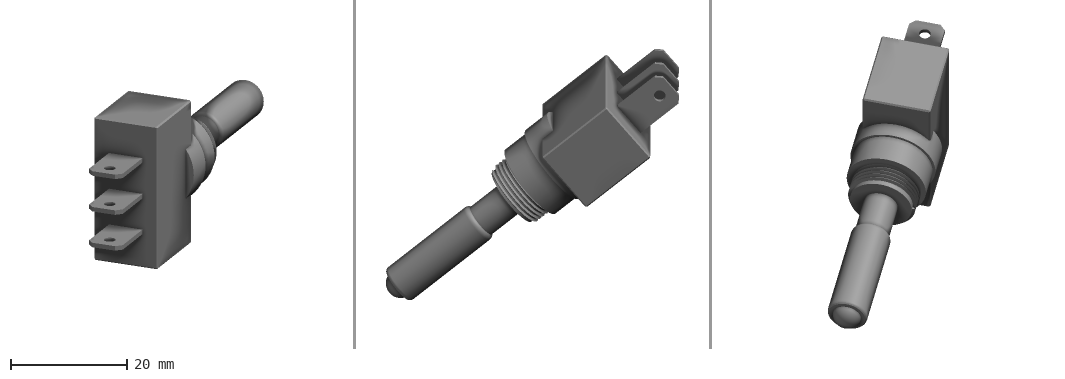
import cadquery as cq
import math

OVERALL_LENGTH = 63.0

CASE_WIDTH = 12.0
CASE_DEPTH = 14.55
CASE_HEIGHT = 26.2
CASE_CHAMFER = 0.25

TERMINAL_COUNT = 3
TERMINAL_PITCH = 6.55
TERMINAL_WIDTH = 6.3
TERMINAL_THICKNESS = 0.8
TERMINAL_LENGTH = 9.45
TERMINAL_CHAMFER = 1.0
TERMINAL_HOLE_DIAMETER = 2.0
TERMINAL_HOLE_TO_END = 2.6

FLANGE_DIAMETER = 15.0
FLANGE_TOP = 2.5
FLANGE_SINK = 2.5
COLLAR_DIAMETER = 14.0
COLLAR_TOP = 7.5
COLLAR_RISE = 0.4

BUSHING_DIAMETER = 10.9
BUSHING_TOP = 11.6
THREAD_DIAMETER = 12.0
THREAD_PITCH = 0.75
THREAD_TURNS = 5
THREAD_BASE_WIDTH = 0.5
THREAD_LEAD_IN = 0.5
THREAD_ROOT_OVERLAP = 0.05

LEVER_TIP = OVERALL_LENGTH - CASE_DEPTH - TERMINAL_LENGTH
STEM_DIAMETER = 6.0
GRIP_DIAMETER = 7.0
GRIP_BOTTOM = 18.45
GRIP_LOWER_ROUND = 1.0
GRIP_END_DIAMETER = 6.5
GRIP_RIM_DIAMETER = 6.8
GRIP_RIM_HEIGHT = 0.2
GRIP_UPPER_ROUND_LENGTH = 0.4
DOME_HEIGHT = 2.0
DOME_BASE_RADIUS = 2.5


def cylinder_along_y(diameter, y_start, y_end, z_center=0.0):
    """Cylinder parallel to Y between two Y positions."""
    return (
        cq.Workplane("XZ", origin=(0, y_start, z_center))
        .circle(diameter / 2)
        .extrude(y_start - y_end)
    )


def make_case():
    """Rectangular case with chamfered edges."""
    return (
        cq.Workplane("XY")
        .box(CASE_WIDTH, CASE_DEPTH, CASE_HEIGHT)
        .translate((0, -CASE_DEPTH / 2, 0))
        .edges()
        .chamfer(CASE_CHAMFER)
    )


def make_terminal(z_center):
    """Flat blade with clipped corners and a hole near its free end."""
    blade_end = -CASE_DEPTH - TERMINAL_LENGTH
    blade = (
        cq.Workplane("XY")
        .box(TERMINAL_WIDTH, TERMINAL_LENGTH, TERMINAL_THICKNESS)
        .translate((0, blade_end + TERMINAL_LENGTH / 2, z_center))
        .faces("<Y")
        .edges("|Z")
        .chamfer(TERMINAL_CHAMFER)
    )
    hole = (
        cq.Workplane("XY", origin=(0, blade_end + TERMINAL_HOLE_TO_END, z_center))
        .circle(TERMINAL_HOLE_DIAMETER / 2)
        .extrude(TERMINAL_THICKNESS, both=True)
    )
    return blade.cut(hole)


def make_helix(radius, height):
    """Thread helix around Z that starts at the given radius and height."""
    helix = cq.Wire.makeHelix(THREAD_PITCH, THREAD_PITCH * THREAD_TURNS, radius)
    return helix.translate(cq.Vector(0, 0, height))


def make_thread():
    """Right-handed triangular thread ridge that starts at -X and runs down into the collar."""
    root_radius = BUSHING_DIAMETER / 2 - THREAD_ROOT_OVERLAP
    half_base = THREAD_BASE_WIDTH / 2
    profile = [(root_radius, -half_base), (THREAD_DIAMETER / 2, 0), (root_radius, half_base)]
    helices = [make_helix(radius, height) for radius, height in profile]
    faces = [
        cq.Face.makeRuledSurface(helix, helices[(index + 1) % len(helices)])
        for index, helix in enumerate(helices)
    ]
    start_corners = [helix.startPoint() for helix in helices]
    end_corners = [helix.endPoint() for helix in helices]
    for corners in (start_corners, end_corners):
        faces.append(cq.Face.makeFromWires(cq.Wire.makePolygon(corners, close=True)))
    ridge = cq.Workplane(cq.Solid.makeSolid(cq.Shell.makeShell(faces)))
    return (
        ridge.rotate((0, 0, 0), (0, 0, 1), 180)
        .rotate((0, 0, 0), (1, 0, 0), 90)
        .translate((0, BUSHING_TOP - THREAD_LEAD_IN, 0))
    )


def make_housing():
    """Case, collar, threaded bushing and terminals as one solid."""
    housing = make_case()
    housing = housing.union(cylinder_along_y(FLANGE_DIAMETER, -FLANGE_SINK, FLANGE_TOP, COLLAR_RISE))
    housing = housing.union(cylinder_along_y(COLLAR_DIAMETER, FLANGE_TOP, COLLAR_TOP, COLLAR_RISE))
    bushing = cylinder_along_y(BUSHING_DIAMETER, COLLAR_TOP, BUSHING_TOP)
    housing = housing.union(bushing).union(make_thread())
    for index in range(TERMINAL_COUNT):
        z_center = (index - (TERMINAL_COUNT - 1) / 2) * TERMINAL_PITCH
        housing = housing.union(make_terminal(z_center))
    return housing


def make_lever():
    """Turned lever standing on the bushing face: stem, grip and domed tip."""
    stem_radius = STEM_DIAMETER / 2
    grip_radius = GRIP_DIAMETER / 2
    grip_top = LEVER_TIP - DOME_HEIGHT
    rim_bottom = grip_top - GRIP_RIM_HEIGHT
    lower_round_inset = GRIP_LOWER_ROUND - (grip_radius - stem_radius)
    lower_round_length = math.sqrt(GRIP_LOWER_ROUND**2 - lower_round_inset**2)
    dome_radius = (DOME_BASE_RADIUS**2 + DOME_HEIGHT**2) / (2 * DOME_HEIGHT)
    dome_center = LEVER_TIP - dome_radius
    half_angle = math.atan2(DOME_BASE_RADIUS, grip_top - dome_center) / 2
    dome_middle = (dome_radius * math.sin(half_angle), dome_center + dome_radius * math.cos(half_angle))
    return (
        cq.Workplane("XY")
        .moveTo(0, BUSHING_TOP)
        .lineTo(stem_radius, BUSHING_TOP)
        .lineTo(stem_radius, GRIP_BOTTOM)
        .radiusArc((grip_radius, GRIP_BOTTOM + lower_round_length), -GRIP_LOWER_ROUND)
        .lineTo(grip_radius, rim_bottom - GRIP_UPPER_ROUND_LENGTH)
        .tangentArcPoint((GRIP_RIM_DIAMETER / 2, rim_bottom), relative=False)
        .lineTo(GRIP_END_DIAMETER / 2, grip_top)
        .lineTo(DOME_BASE_RADIUS, grip_top)
        .threePointArc(dome_middle, (0, LEVER_TIP))
        .close()
        .revolve(360, (0, 0, 0), (0, 1, 0))
    )


housing = make_housing()
lever = make_lever()

result = cq.Compound.makeCompound([housing.val(), lever.val()])